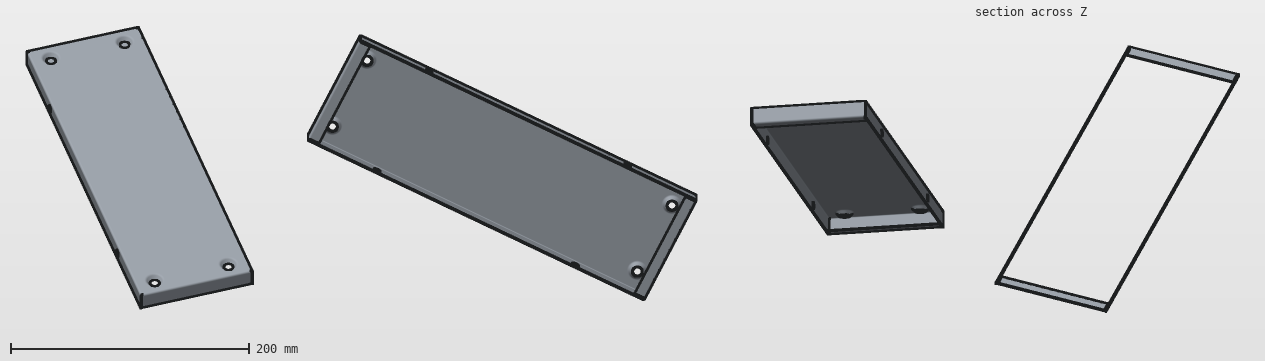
import cadquery as cq
import math

LENGTH = 316.0
WIDTH = 99.0
HEIGHT = 15.0
SHEET = 1.0
BEND_RADIUS = 1.8
CORNER_GAP = 0.6
LIP_DEPTH = 10.0

SCREW_SPACING_X = 286.0
SCREW_SPACING_Y = 65.0
SCREW_BORE_DIAMETER = 7.5
DIMPLE_DIAMETER = 17.0
DIMPLE_BEND_RADIUS = 3.0
DIMPLE_CONE_SLOPE = 45.0

CROSS_HOLE_SPACING = 186.0
CROSS_HOLE_DIAMETER = 6.0
CROSS_HOLE_HEIGHT = 6.0

INNER_BEND_RADIUS = BEND_RADIUS - SHEET


def mitred_outline(edge_reach, wall_reach):
    """Plan of one fold as (along the walls, across the walls) points.

    The two walls stand at +-wall_reach and run to CORNER_GAP short of +-edge_reach. Their ends taper
    across the bends to the corners of the flat top sheet.
    """
    outer_corner = (edge_reach - CORNER_GAP, wall_reach)
    sheet_corner = (edge_reach - BEND_RADIUS, wall_reach - BEND_RADIUS)
    far_end = [
        outer_corner,
        sheet_corner,
        (sheet_corner[0], -sheet_corner[1]),
        (outer_corner[0], -outer_corner[1]),
    ]
    return far_end + [(-along, -across) for along, across in far_end]


def side_fold():
    """Top sheet with the two long side walls, which end square at Z = 0."""
    outer = cq.Workplane("XY").box(LENGTH, WIDTH, HEIGHT, centered=(True, True, False))
    outer = outer.edges(">Z and |X").fillet(BEND_RADIUS)
    inner = (
        cq.Workplane("XY")
        .box(LENGTH, WIDTH - 2 * SHEET, HEIGHT - SHEET, centered=(True, True, False))
        .edges(">Z and |X")
        .fillet(INNER_BEND_RADIUS)
    )
    outline = mitred_outline(LENGTH / 2, WIDTH / 2)
    plan = cq.Workplane("XY").polyline(outline).close().extrude(HEIGHT)
    return outer.cut(inner).intersect(plan)


def end_fold():
    """Top sheet with the two end walls and the lips folded in beneath them."""
    outer = cq.Workplane("XY").box(LENGTH, WIDTH, HEIGHT, centered=(True, True, False))
    outer = outer.edges("|Y").fillet(BEND_RADIUS)
    inner = (
        cq.Workplane("XY", origin=(0, 0, SHEET))
        .box(LENGTH - 2 * SHEET, WIDTH, HEIGHT - 2 * SHEET, centered=(True, True, False))
        .edges("|Y")
        .fillet(INNER_BEND_RADIUS)
    )
    opening = cq.Workplane("XY").box(
        LENGTH - 2 * LIP_DEPTH, WIDTH, 2 * SHEET, centered=(True, True, False)
    )
    outline = [(across, along) for along, across in mitred_outline(WIDTH / 2, LENGTH / 2)]
    plan = cq.Workplane("XY").polyline(outline).close().extrude(HEIGHT)
    return outer.cut(inner).cut(opening).intersect(plan)


def dimple():
    """Ring of sheet that bends down from the top face into a cone around a screw bore on the Z axis."""
    bore_radius = SCREW_BORE_DIAMETER / 2
    mouth_radius = DIMPLE_DIAMETER / 2
    cone_angle = math.radians(DIMPLE_CONE_SLOPE)
    bend_center_z = HEIGHT - DIMPLE_BEND_RADIUS

    def bend_point(radius, angle):
        return (mouth_radius - radius * math.sin(angle), bend_center_z + radius * math.cos(angle))

    upper_radius = DIMPLE_BEND_RADIUS
    lower_radius = DIMPLE_BEND_RADIUS - SHEET
    cone_top_x, cone_top_z = bend_point(upper_radius, cone_angle)
    rim_z = cone_top_z - (cone_top_x - bore_radius) * math.tan(cone_angle)
    lower_rim = (bore_radius + SHEET * math.sin(cone_angle), rim_z - SHEET * math.cos(cone_angle))
    return (
        cq.Workplane("XZ")
        .moveTo(*bend_point(upper_radius, 0))
        .threePointArc(bend_point(upper_radius, cone_angle / 2), bend_point(upper_radius, cone_angle))
        .lineTo(bore_radius, rim_z)
        .lineTo(*lower_rim)
        .lineTo(*bend_point(lower_radius, cone_angle))
        .threePointArc(bend_point(lower_radius, cone_angle / 2), bend_point(lower_radius, 0))
        .close()
        .revolve(360, (0, 0, 0), (0, 1, 0))
    )


def form_screw_holes(cover):
    """Four screw holes, each in a dimple pressed down from the top sheet."""
    mouth_radius = DIMPLE_DIAMETER / 2
    formed_dimple = dimple()
    for x in (-SCREW_SPACING_X / 2, SCREW_SPACING_X / 2):
        for y in (-SCREW_SPACING_Y / 2, SCREW_SPACING_Y / 2):
            opening = cq.Workplane("XY", origin=(x, y, HEIGHT - SHEET)).circle(mouth_radius).extrude(SHEET)
            cover = cover.cut(opening).union(formed_dimple.translate((x, y, 0)))
    return cover


def cut_cross_holes(cover):
    """Two holes along Y, drilled through both side walls."""
    drills = (
        cq.Workplane("XZ", origin=(0, WIDTH / 2, CROSS_HOLE_HEIGHT))
        .rarray(CROSS_HOLE_SPACING, 1, 2, 1)
        .circle(CROSS_HOLE_DIAMETER / 2)
        .extrude(WIDTH)
    )
    return cover.cut(drills)


result = cut_cross_holes(form_screw_holes(side_fold().union(end_fold())))